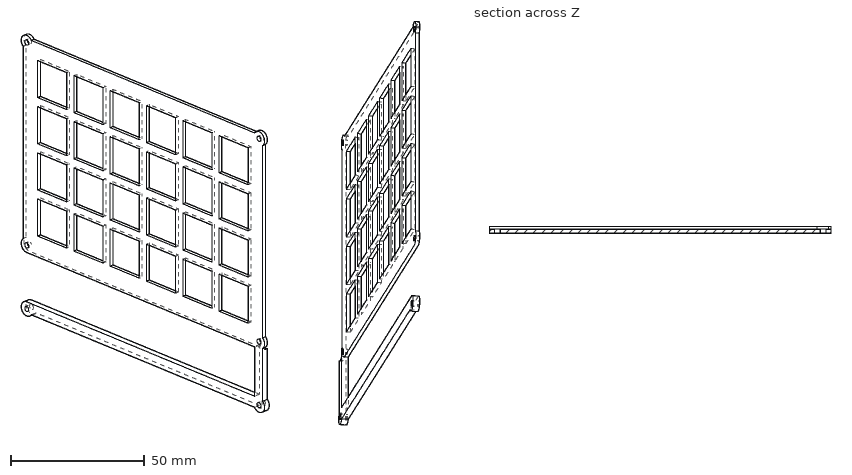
import cadquery as cq

WIDTH = 128.0
HEIGHT = 116.0
THICKNESS = 2.5
PLATE_THICKNESS = 1.5
FRONT_Y = -THICKNESS / 2
PLATE_BACK_Y = FRONT_Y + PLATE_THICKNESS

LUG_RADIUS = 3.0
SCREW_DIAMETER = 2.0
LUG_X = WIDTH / 2 - LUG_RADIUS
LUG_TOP_Z = HEIGHT / 2 - LUG_RADIUS
LUG_MIDDLE_Z = -28.8
LUG_BOTTOM_Z = -LUG_TOP_Z
CLEARANCE_RADIUS = 3.6

SIDE_INSET = 1.0
END_INSET = 1.3
SIDE_X = WIDTH / 2 - SIDE_INSET
PLATE_TOP_Z = HEIGHT / 2 - END_INSET
BAR_BOTTOM_Z = END_INSET - HEIGHT / 2

PLATE_BOTTOM_Z = LUG_MIDDLE_Z - LUG_RADIUS
BAR_TOP_Z = LUG_BOTTOM_Z + LUG_RADIUS
COLUMN_WIDTH = 4.2

WINDOW_COLUMNS = 6
WINDOW_ROWS = 4
WINDOW_PITCH = 19.1
WINDOW_SIZE = 15.2
GRID_CENTRE_Z = 13.2


def block(x_min, x_max, z_min, z_max, depth):
    """Block reaching back from the front face by the given depth."""
    corner = (x_min, FRONT_Y, z_min)
    size = (x_max - x_min, depth, z_max - z_min)
    return cq.Workplane("XY").box(*size, centered=False).translate(corner)


def cylinders(points, radius, depth, start_y=FRONT_Y):
    """Cylinders along +Y at the (x, z) points, starting at start_y."""
    plane = cq.Workplane("XZ", origin=(0, start_y, 0))
    return plane.pushPoints(points).circle(radius).extrude(-depth)


upper_lugs = [(x, z) for x in (-LUG_X, LUG_X) for z in (LUG_TOP_Z, LUG_MIDDLE_Z)]
lower_lugs = [(x, LUG_BOTTOM_Z) for x in (-LUG_X, LUG_X)]

plate = block(-SIDE_X, SIDE_X, LUG_MIDDLE_Z, PLATE_TOP_Z, PLATE_THICKNESS)
plate_foot = block(-LUG_X, SIDE_X, PLATE_BOTTOM_Z, LUG_MIDDLE_Z, PLATE_THICKNESS)
plate_lugs = cylinders(upper_lugs, LUG_RADIUS, PLATE_THICKNESS)
plate = plate.union(plate_foot).union(plate_lugs)

bar = block(-LUG_X, SIDE_X, BAR_BOTTOM_Z, BAR_TOP_Z, THICKNESS)
column = block(SIDE_X - COLUMN_WIDTH, SIDE_X, LUG_BOTTOM_Z, LUG_MIDDLE_Z, THICKNESS)
bar_lugs = cylinders(lower_lugs, LUG_RADIUS, THICKNESS)
clearance = cylinders(
    [(LUG_X, LUG_MIDDLE_Z)], CLEARANCE_RADIUS, THICKNESS - PLATE_THICKNESS, PLATE_BACK_Y
)
arm = bar.union(column).union(bar_lugs).cut(clearance)

windows = (
    cq.Workplane("XZ", origin=(0, FRONT_Y, GRID_CENTRE_Z))
    .rarray(WINDOW_PITCH, WINDOW_PITCH, WINDOW_COLUMNS, WINDOW_ROWS)
    .rect(WINDOW_SIZE, WINDOW_SIZE)
    .extrude(-PLATE_THICKNESS)
)
screw_holes = cylinders(upper_lugs + lower_lugs, SCREW_DIAMETER / 2, THICKNESS)

result = plate.union(arm).cut(windows).cut(screw_holes)